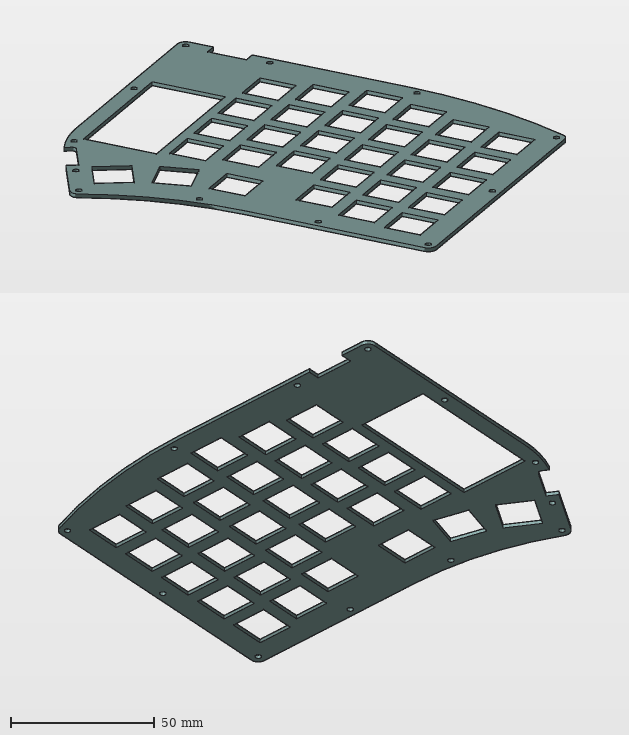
import cadquery as cq
import math

width = 156.91
height = 132.65
thickness = 1.5

corner_radius = 3.2
bottom_edge_y = 13.35
top_arc_radius = 185.0
top_right_corner_y = 117.2
bottom_arc_radius = 135.0
thumb_corner_x = 24.2
thumb_edge_turn = 30.0
left_blend_radius = 42.0

notch_width = 15.1
notch_depth = 4.55
top_notch_x = 20.0
thumb_notch_distance = 28.9
thumb_notch_fillet = 1.5

key_size = 14.0
key_pitch = 19.0
first_column_x = 45.7
key_columns = [(109.3, 4), (112.65, 4), (116.5, 4), (112.7, 5), (107.75, 5), (105.4, 5)]
thumb_keys = [(71.2, 31.85, 0), (49.15, 28.85, 15), (29.0, 20.45, 30)]

window_left = 6.4
window_bottom = 42.9
window_width = 28.4
window_height = 53.8

hole_diameter = 2.2
edge_inset = corner_radius
top_hole_xs = [edge_inset, 36.0, 93.3]
right_hole_ys = [bottom_edge_y + edge_inset, 66.9, top_right_corner_y]
left_hole_y = 88.9
left_blend_hole = (4.15, 39.85)
bottom_hole_x = 110.9
bottom_arc_hole = (65.15, 15.35)
thumb_hole_spacing = 16.75

turn = math.radians(thumb_edge_turn)
edge_direction = (-math.sin(turn), math.cos(turn))
inward_direction = (math.cos(turn), math.sin(turn))

thumb_corner_center = (thumb_corner_x, corner_radius)
thumb_edge_start = (
    thumb_corner_center[0] - corner_radius * inward_direction[0],
    thumb_corner_center[1] - corner_radius * inward_direction[1],
)


def along_thumb_edge(start, distance):
    """Point reached from start by moving up parallel to the thumb edge."""
    return (start[0] + distance * edge_direction[0], start[1] + distance * edge_direction[1])


def on_circle(center, radius, degrees):
    """Point of a circle at an angle measured counter-clockwise from +X."""
    angle = math.radians(degrees)
    return (center[0] + radius * math.cos(angle), center[1] + radius * math.sin(angle))


def add_arc(outline, center, radius, start, end):
    """Continue the outline along a circle between two angles in degrees."""
    middle = on_circle(center, radius, (start + end) / 2)
    return outline.threePointArc(middle, on_circle(center, radius, end))


def make_plate():
    """Solid plate whose edges and corner arcs run tangent into each other."""
    right_x = width - corner_radius
    top_right = (right_x, top_right_corner_y)
    bottom_right = (right_x, bottom_edge_y + corner_radius)
    top_left = (corner_radius, height - corner_radius)

    top_center_y = height - top_arc_radius
    top_rise = top_right_corner_y - top_center_y
    top_run = math.sqrt((top_arc_radius - corner_radius) ** 2 - top_rise**2)
    top_center = (right_x - top_run, top_center_y)
    top_end_angle = math.degrees(math.atan2(top_rise, top_run))

    bottom_center_y = bottom_edge_y - bottom_arc_radius
    bottom_rise = corner_radius - bottom_center_y
    bottom_run = math.sqrt((bottom_arc_radius + corner_radius) ** 2 - bottom_rise**2)
    bottom_center = (thumb_corner_x + bottom_run, bottom_center_y)
    bottom_end_angle = math.degrees(math.atan2(bottom_rise, -bottom_run))

    meeting_y = thumb_edge_start[1] + thumb_edge_start[0] / math.tan(turn)
    blend_start_y = meeting_y + left_blend_radius * math.tan(turn / 2)
    blend_center = (left_blend_radius, blend_start_y)
    blend_end_angle = 180 + thumb_edge_turn

    outline = cq.Workplane("XY").moveTo(0, top_left[1])
    outline = add_arc(outline, top_left, corner_radius, 180, 90)
    outline = outline.lineTo(top_center[0], height)
    outline = add_arc(outline, top_center, top_arc_radius, 90, top_end_angle)
    outline = add_arc(outline, top_right, corner_radius, top_end_angle, 0)
    outline = outline.lineTo(width, bottom_right[1])
    outline = add_arc(outline, bottom_right, corner_radius, 0, -90)
    outline = outline.lineTo(bottom_center[0], bottom_edge_y)
    outline = add_arc(outline, bottom_center, bottom_arc_radius, 90, bottom_end_angle)
    thumb_angles = (bottom_end_angle - 180, thumb_edge_turn - 180)
    outline = add_arc(outline, thumb_corner_center, corner_radius, *thumb_angles)
    outline = outline.lineTo(*on_circle(blend_center, left_blend_radius, blend_end_angle))
    outline = add_arc(outline, blend_center, left_blend_radius, blend_end_angle, 180)
    return outline.close().extrude(thickness)


def opening(center, size_x, size_y, degrees=0):
    """Rectangular cutter through the plate, turned about its own centre."""
    box = cq.Workplane("XY").rect(size_x, size_y).extrude(thickness)
    return box.rotate((0, 0, 0), (0, 0, 1), degrees).translate((center[0], center[1], 0))


def cut_notches(plate):
    """Connector notches in the top edge and in the thumb edge, centred on the edge lines."""
    top_notch = opening((top_notch_x, height), notch_width, 2 * notch_depth)
    thumb_notch = opening((0, 0), 2 * notch_depth, notch_width)
    thumb_notch = thumb_notch.edges("|Z and >X and >Y").fillet(thumb_notch_fillet)
    center = along_thumb_edge(thumb_edge_start, thumb_notch_distance)
    thumb_notch = thumb_notch.rotate((0, 0, 0), (0, 0, 1), thumb_edge_turn)
    thumb_notch = thumb_notch.translate((center[0], center[1], 0))
    return plate.cut(top_notch).cut(thumb_notch)


def cut_keys(plate):
    """Staggered columns of square switch openings and the fanned thumb keys."""
    for column, (top_key_y, key_count) in enumerate(key_columns):
        x = first_column_x + column * key_pitch
        for row in range(key_count):
            plate = plate.cut(opening((x, top_key_y - row * key_pitch), key_size, key_size))
    for x, y, degrees in thumb_keys:
        plate = plate.cut(opening((x, y), key_size, key_size, degrees))
    return plate


def cut_window(plate):
    """Rectangular display window."""
    center = (window_left + window_width / 2, window_bottom + window_height / 2)
    return plate.cut(opening(center, window_width, window_height))


def cut_screw_holes(plate):
    """Screw holes around the rim."""
    centers = [(x, height - edge_inset) for x in top_hole_xs]
    centers += [(width - edge_inset, y) for y in right_hole_ys]
    centers += [(edge_inset, left_hole_y), left_blend_hole]
    centers += [(bottom_hole_x, bottom_edge_y + edge_inset), bottom_arc_hole]
    centers += [thumb_corner_center, along_thumb_edge(thumb_corner_center, thumb_hole_spacing)]
    holes = cq.Workplane("XY").pushPoints(centers).circle(hole_diameter / 2).extrude(thickness)
    return plate.cut(holes)


result = cut_screw_holes(cut_window(cut_keys(cut_notches(make_plate()))))